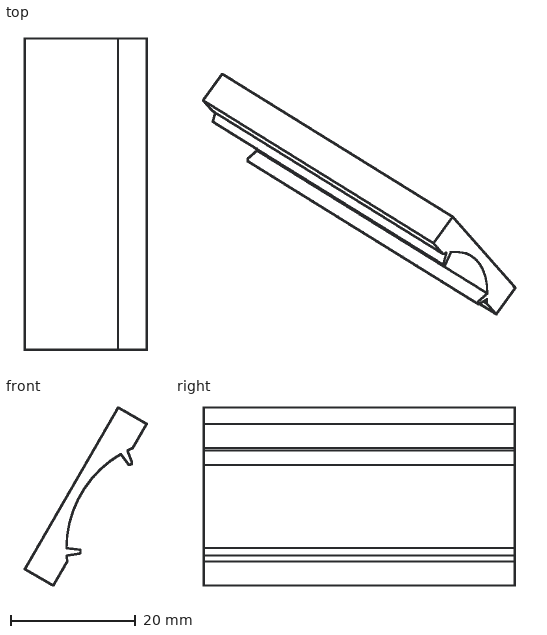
import cadquery as cq
import math

length = 50.0
slab_width = 30.0
slab_thickness = 5.3
tilt = 60.0

trough_radius = 17.5
floor_thickness = 1.8
trough_center = floor_thickness + trough_radius

rib_inner_root = 8.7
rib_outer_root = 9.75
rib_inner_tip = (7.8, 6.2)
rib_outer_tip = (8.35, 6.5)
rib_tip_fillet = 0.2


def trough_depth(offset):
    """Distance from the flat back to the trough surface at a mid-plane offset."""
    return trough_center - math.sqrt(trough_radius**2 - offset**2)


def make_slab():
    """Slab along local X, with its flat back on local Y = 0 and the trough cut out."""
    block = cq.Workplane("XY").rect(slab_width, slab_thickness).extrude(length)
    block = block.translate((0, slab_thickness / 2, 0))
    trough = cq.Workplane("XY").center(0, trough_center).circle(trough_radius).extrude(length)
    return block.cut(trough)


def make_rib():
    """Tapered rib on the positive local X side, rooted below the trough surface."""
    inner_root = (rib_inner_root, trough_depth(rib_inner_root))
    outer_root = (rib_outer_root, trough_depth(rib_outer_root))
    buried = ((rib_inner_root + rib_outer_root) / 2, slab_thickness / 2)
    profile = [inner_root, rib_inner_tip, rib_outer_tip, outer_root, buried]
    rib = cq.Workplane("XY").polyline(profile).close().extrude(length)
    tip_edges = cq.selectors.BoxSelector(
        (rib_inner_tip[0] - rib_tip_fillet, rib_inner_tip[1] - rib_tip_fillet, 0),
        (rib_outer_tip[0] + rib_tip_fillet, rib_outer_tip[1] + rib_tip_fillet, length),
    )
    return rib.edges("|Z").edges(tip_edges).fillet(rib_tip_fillet)


rib = make_rib()
profile_body = make_slab().union(rib).union(rib.mirror("YZ"))

result = (
    profile_body.translate((0, 0, -length / 2))
    .rotate((0, 0, 0), (1, 0, 0), -90)
    .rotate((0, 0, 0), (0, 1, 0), -tilt)
)